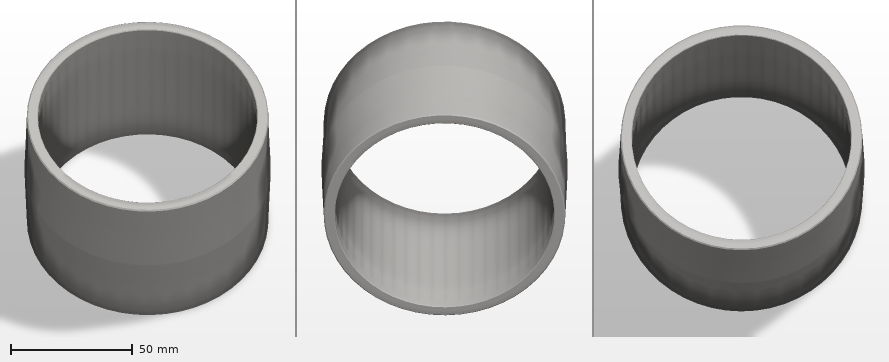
import cadquery as cq

height = 69.9
middle_radius = 50.8
middle_band_height = 0.4
taper_inset = 1.0
bore_radius = 45.2
outer_chamfer = 0.5
bore_chamfer = 0.3

half_height = height / 2
half_band = middle_band_height / 2
end_radius = middle_radius - taper_inset
shoulder_height = half_height - outer_chamfer

wall_section = [
    (bore_radius, -half_height + bore_chamfer),
    (bore_radius + bore_chamfer, -half_height),
    (end_radius - outer_chamfer, -half_height),
    (end_radius, -shoulder_height),
    (middle_radius, -half_band),
    (middle_radius, half_band),
    (end_radius, shoulder_height),
    (end_radius - outer_chamfer, half_height),
    (bore_radius + bore_chamfer, half_height),
    (bore_radius, half_height - bore_chamfer),
]

result = (
    cq.Workplane("XZ")
    .polyline([(-radius, z) for radius, z in wall_section])
    .close()
    .revolve(360, (0, 0, 0), (0, 1, 0))
)